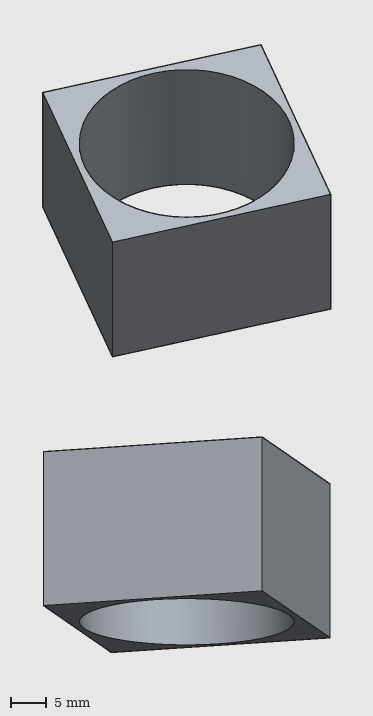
import cadquery as cq

side = 32.0
height = 22.0
bore_diameter = 30.0

block = cq.Workplane("XY").box(side, side, height)
result = block.faces(">Z").workplane().hole(bore_diameter)